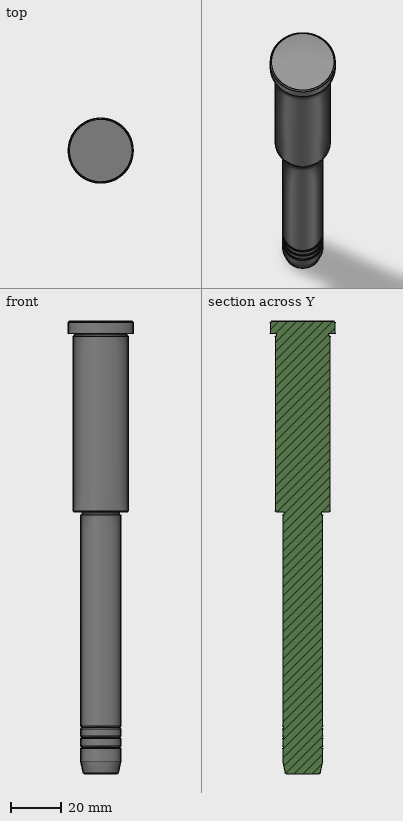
import cadquery as cq

total_length = 180.0
head_diameter = 26.0
head_thickness = 5.0
head_chamfer = 0.5
body_diameter = 22.0
body_bottom = 104.0
body_chamfer = 0.5
shaft_diameter = 16.0

neck_length = 0.5
relief_width = 1.0
relief_depth = 0.5

taper_length = 5.0
taper_end_diameter = 13.9
tip_chamfer = 0.5

groove_count = 3
groove_width = 1.0
groove_depth = 0.4
groove_pitch = 4.0
lowest_groove_bottom = 10.0

head_bottom = total_length - head_thickness


def cylinder(diameter, bottom, top):
    return cq.Workplane("XY").workplane(offset=bottom).circle(diameter / 2).extrude(top - bottom)


def groove_ring(bottom):
    """V-shaped ring of material to cut from the shaft."""
    radius = shaft_diameter / 2
    return (
        cq.Workplane("XZ")
        .moveTo(radius, bottom)
        .lineTo(radius - groove_depth, bottom + groove_width / 2)
        .lineTo(radius, bottom + groove_width)
        .close()
        .revolve(360, (0, 0), (0, 1))
    )


def make_head():
    return cylinder(head_diameter, head_bottom, total_length).faces(">Z").chamfer(head_chamfer)


def make_body():
    body_top = head_bottom - neck_length
    body = cylinder(body_diameter, body_bottom, body_top).faces("<Z or >Z").chamfer(body_chamfer)
    neck = cylinder(body_diameter - 2 * body_chamfer, body_top, head_bottom)
    return body.union(neck)


def make_shaft():
    relief_bottom = body_bottom - relief_width
    shaft = cylinder(shaft_diameter, taper_length, relief_bottom)
    relief = cylinder(shaft_diameter - 2 * relief_depth, relief_bottom, body_bottom)
    taper = (
        cq.Workplane("XY").circle(taper_end_diameter / 2)
        .workplane(offset=taper_length).circle(shaft_diameter / 2).loft()
        .faces("<Z").chamfer(tip_chamfer)
    )
    shaft = shaft.union(taper).union(relief)
    for index in range(groove_count):
        bottom = lowest_groove_bottom + index * groove_pitch
        shaft = shaft.cut(groove_ring(bottom))
    return shaft


result = make_head().union(make_body()).union(make_shaft())